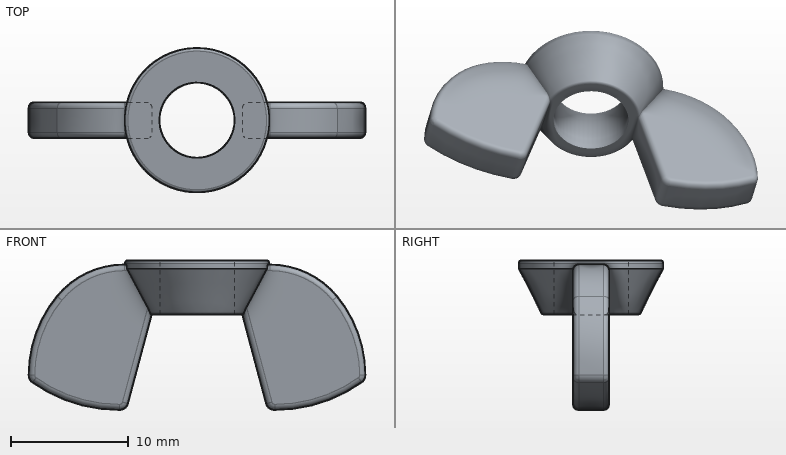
import cadquery as cq
import math


bore_diameter = 6.35
rim_diameter = 12.26
rim_height = 0.7
hub_height = 4.6
hub_base_diameter = 8.3
hub_edge_radius = 0.25

wing_span = 28.57
overall_height = 12.7
wing_thickness = 3.06
wing_edge_radius = 0.508
wing_corner_radius = 0.762

shoulder_x = 6.16
wing_top_z = -0.35
shoulder_radius = 7.4
shoulder_sweep = 50.5

bottom_radius = 12.7
bottom_x = 6.6

inner_edge_angle = 15.0
inner_edge_x = 3.83


def make_hub():
    """Revolved body: short cylindrical rim above a cone that narrows downwards."""
    rim_radius = rim_diameter / 2
    hub = (
        cq.Workplane("XZ")
        .moveTo(0, 0)
        .lineTo(rim_radius, 0)
        .lineTo(rim_radius, -rim_height)
        .lineTo(hub_base_diameter / 2, -hub_height)
        .lineTo(0, -hub_height)
        .close()
        .revolve(360, (0, 0), (0, 1))
    )
    return hub.faces("<Z or >Z").edges().fillet(hub_edge_radius)


def point_on_circle(center, radius, angle):
    """Point at an angle (radians) measured from +X towards +Z."""
    return (center[0] + radius * math.cos(angle), center[1] + radius * math.sin(angle))


def circle_crossing(center_a, radius_a, center_b, radius_b):
    """Crossing of two circles that lies clockwise of the line from A to B."""
    dx = center_b[0] - center_a[0]
    dz = center_b[1] - center_a[1]
    distance = math.hypot(dx, dz)
    cosine = (radius_a**2 + distance**2 - radius_b**2) / (2 * radius_a * distance)
    angle = math.atan2(dz, dx) - math.acos(cosine)
    return point_on_circle(center_a, radius_a, angle)


def inner_edge_point(z):
    """Point of the slanted inner wing edge at height z."""
    slope = math.tan(math.radians(inner_edge_angle))
    return (inner_edge_x - slope * (z + hub_height), z)


def round_corner(wing, corner):
    """Round the wing's through-thickness edge at an outline corner (x, z)."""
    edge = cq.selectors.NearestToPointSelector((corner[0], 0, corner[1]))
    return wing.edges("|Y").edges(edge).fillet(wing_corner_radius)


def make_wing():
    """Right-hand wing, running inwards into the hub."""
    shoulder_center = (shoulder_x, wing_top_z - shoulder_radius)
    join_angle = math.radians(90 - shoulder_sweep)
    shoulder_mid = point_on_circle(shoulder_center, shoulder_radius, (math.pi / 2 + join_angle) / 2)
    shoulder_end = point_on_circle(shoulder_center, shoulder_radius, join_angle)

    side_radius = (wing_span / 2 - shoulder_end[0]) / (1 - math.cos(join_angle))
    side_center = point_on_circle(shoulder_end, -side_radius, join_angle)
    bottom_center = (bottom_x, bottom_radius - overall_height)
    tip = circle_crossing(side_center, side_radius, bottom_center, bottom_radius)
    side_mid = point_on_circle(side_center, side_radius, join_angle / 2)

    tip_angle = math.atan2(tip[1] - bottom_center[1], tip[0] - bottom_center[0])
    bottom_mid = point_on_circle(bottom_center, bottom_radius, (tip_angle - math.pi / 2) / 2)

    wing = (
        cq.Workplane("XZ")
        .moveTo(*inner_edge_point(wing_top_z))
        .lineTo(shoulder_x, wing_top_z)
        .threePointArc(shoulder_mid, shoulder_end)
        .threePointArc(side_mid, tip)
        .threePointArc(bottom_mid, (bottom_x, -overall_height))
        .lineTo(*inner_edge_point(-overall_height))
        .close()
        .extrude(wing_thickness / 2, both=True)
    )
    wing = round_corner(wing, tip)
    wing = round_corner(wing, inner_edge_point(-overall_height))
    return wing.faces("<Y or >Y").edges().fillet(wing_edge_radius)


right_wing = make_wing()
left_wing = right_wing.mirror("YZ")
bore = cq.Workplane("XY").circle(bore_diameter / 2).extrude(-overall_height)
result = make_hub().union(right_wing).union(left_wing).cut(bore)